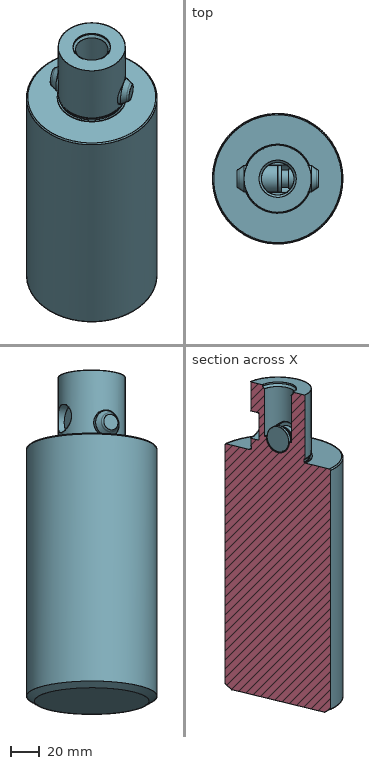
import cadquery as cq

TOTAL_HEIGHT = 230.0
BODY_RADIUS = 90.5 / 2
BODY_HEIGHT = 180.0
BODY_TOP_CHAMFER = 1.0
BASE_BEVEL_WIDTH = 5.5
BASE_BEVEL_HEIGHT = 3.5
SHANK_RADIUS = 23.2

NECK_TOP = 182.6
NECK_RADIUS = 22.5
LIP_RADIUS = 24.0
LIP_HEIGHT = 0.5

BORE_RADIUS = 11.3
COUNTERBORE_RADIUS = 12.9
COUNTERBORE_DEPTH = 1.2
BORE_CHAMFER = 1.5

SIDE_HOLE_RADIUS = 10.0
SIDE_HOLE_HEIGHT = 198.5
SIDE_HOLE_DEPTH = 7.0

PIN_HEIGHT = 192.5
PIN_HOLE_RADIUS = 9.7
PIN_RADIUS = 9.2
PIN_LENGTH = 28.3
PIN_GAP = 0.5
PIN_CONE_START = 23.2
PIN_CONE_END_RADIUS = 6.7
PIN_TIP_RADIUS = 5.5
PIN_TIP_FILLET_LENGTH = 1.4
PIN_TIP_FILLET_BULGE = 0.12

COLLAR_END = 2.5
WAIST_END = 7.5
WAIST_RADIUS = 6.0
SHOULDER_END = 11.5
SHOULDER_RADIUS = 6.7


def make_housing():
    """Turned body with its neck, bore, side hole and pin hole."""
    bore_floor = PIN_HEIGHT
    counterbore_floor = TOTAL_HEIGHT - COUNTERBORE_DEPTH
    housing = (
        cq.Workplane("XZ")
        .moveTo(0, 0)
        .lineTo(BODY_RADIUS - BASE_BEVEL_WIDTH, 0)
        .lineTo(BODY_RADIUS, BASE_BEVEL_HEIGHT)
        .lineTo(BODY_RADIUS, BODY_HEIGHT - BODY_TOP_CHAMFER)
        .lineTo(BODY_RADIUS - BODY_TOP_CHAMFER, BODY_HEIGHT)
        .lineTo(LIP_RADIUS, BODY_HEIGHT)
        .lineTo(LIP_RADIUS, BODY_HEIGHT + LIP_HEIGHT)
        .lineTo(NECK_RADIUS, BODY_HEIGHT + LIP_HEIGHT)
        .lineTo(NECK_RADIUS, NECK_TOP)
        .lineTo(SHANK_RADIUS, NECK_TOP)
        .lineTo(SHANK_RADIUS, TOTAL_HEIGHT)
        .lineTo(COUNTERBORE_RADIUS, TOTAL_HEIGHT)
        .lineTo(COUNTERBORE_RADIUS, counterbore_floor)
        .lineTo(BORE_RADIUS, counterbore_floor - BORE_CHAMFER)
        .lineTo(BORE_RADIUS, bore_floor)
        .lineTo(0, bore_floor)
        .close()
        .revolve(360, (0, 0), (0, 1))
    )
    side_hole = (
        cq.Workplane("XZ", origin=(0, SHANK_RADIUS, 0))
        .center(0, SIDE_HOLE_HEIGHT)
        .circle(SIDE_HOLE_RADIUS)
        .extrude(SIDE_HOLE_DEPTH)
    )
    pin_hole = (
        cq.Workplane("YZ")
        .center(0, PIN_HEIGHT)
        .circle(PIN_HOLE_RADIUS)
        .extrude(BODY_RADIUS, both=True)
    )
    return housing.cut(side_hole).cut(pin_hole)


def make_pin():
    """Plain pin along +X with a tapered, rounded outer end."""
    fillet_start = PIN_LENGTH - PIN_TIP_FILLET_LENGTH
    fillet_middle = (
        PIN_LENGTH - PIN_TIP_FILLET_LENGTH / 2 + PIN_TIP_FILLET_BULGE,
        (PIN_CONE_END_RADIUS + PIN_TIP_RADIUS) / 2 + PIN_TIP_FILLET_BULGE,
    )
    pin = (
        cq.Workplane("XY")
        .moveTo(PIN_GAP / 2, 0)
        .lineTo(PIN_GAP / 2, PIN_RADIUS)
        .lineTo(PIN_CONE_START, PIN_RADIUS)
        .lineTo(fillet_start, PIN_CONE_END_RADIUS)
        .threePointArc(fillet_middle, (PIN_LENGTH, PIN_TIP_RADIUS))
        .lineTo(PIN_LENGTH, 0)
        .close()
        .revolve(360, (0, 0), (1, 0))
    )
    return pin.translate((0, 0, PIN_HEIGHT))


def make_waist_cut():
    """Ring of material to remove from the right-hand pin."""
    ring = (
        cq.Workplane("XY")
        .moveTo(COLLAR_END, WAIST_RADIUS)
        .lineTo(WAIST_END, WAIST_RADIUS)
        .lineTo(WAIST_END, SHOULDER_RADIUS)
        .lineTo(SHOULDER_END, SHOULDER_RADIUS)
        .lineTo(SHOULDER_END, PIN_RADIUS)
        .lineTo(COLLAR_END, PIN_RADIUS)
        .close()
        .revolve(360, (0, 0), (1, 0))
    )
    return ring.translate((0, 0, PIN_HEIGHT))


housing = make_housing()
left_pin = make_pin().mirror("YZ")
right_pin = make_pin().cut(make_waist_cut())

result = cq.Compound.makeCompound([housing.val(), left_pin.val(), right_pin.val()])